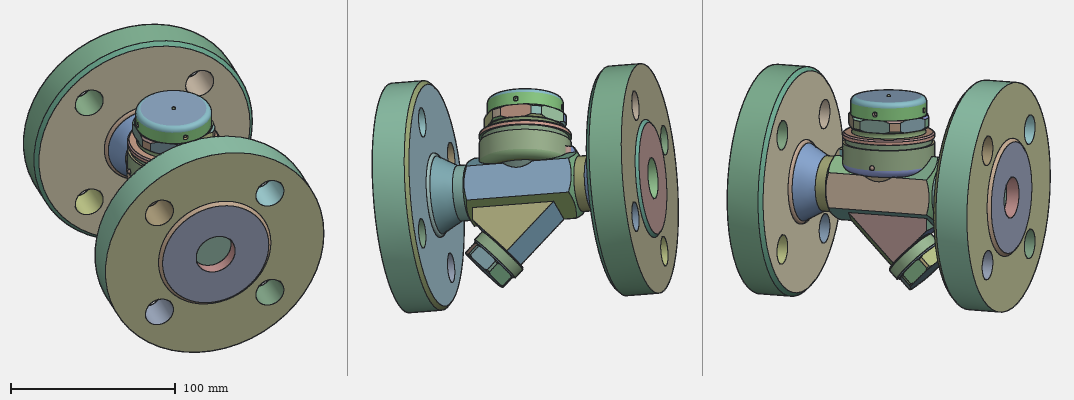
import cadquery as cq
import math

length = 160.0
flange_dia = 140.0
flange_thickness = 22.5
flange_chamfer = 2.4
raised_face_dia = 68.0
raised_face_base_dia = 72.0
raised_face_height = 2.0
bolt_hole_dia = 18.0
bolt_circle_dia = 100.0
bolt_count = 4
bore_dia = 25.0
bore_depth = 8.0

pipe_dia = 34.0
pipe_end_x = 41.3
hub_base_dia = 47.7
hub_fillet = 2.0

block_flats = 37.6
block_end_x = 34.7
block_corner_radius = block_flats / math.sqrt(3)
block_chamfer_slope = 1.7
pad_width = 9.6
pad_top_z = 22.9
pad_fillet = 3.2

drum_dia = 56.0
drum_bottom_z = 11.4
drum_bottom_radius = 4.6
drum_top_z = 28.6
drum_cone_dia = 42.5
drum_foot_dia = 36.2
drum_foot_z = 6.4
groove_dia = 53.0
rim_bottom_z = 32.0
rim_top_z = 35.0
rim_chamfer = 1.0
bump_dia = 3.0
bump_z = 17.6

branch_offset = 17.3
branch_flats = 26.4
branch_start = -8.0
branch_end = 36.5
web_right_x = 29.8

plug_spigot_dia = 32.0
plug_collar_dia = 34.0
plug_collar_start = 37.3
plug_collar_end = 44.2
plug_hex_start = 45.1
plug_hex_end = 54.0
plug_hex_flats = 29.5
plug_hex_turned_dia = 33.0
plug_hex_chamfer = 0.8

neck_dia = 45.5
neck_hollow = 0.5
cover_hex_bottom_z = 38.4
cover_hex_top_z = 46.2
cover_hex_flats = 46.4
cover_hex_turned_dia = 50.2
cover_hex_chamfer = 1.3
cap_dia = 46.2
cap_top_dia = 40.0
cap_top_z = 57.0
cap_fillet = (cap_dia - cap_top_dia) / 2
dimple_dia = 3.0
dimple_floor_dia = 1.8
dimple_depth = 1.3
dimple_z = 50.0
dimple_count = 4
nib_dia = 2.2


def about_x(profile):
    """Solid of revolution about X from an (x, radius) outline on the XY plane."""
    return profile.close().revolve(360, (0, 0, 0), (1, 0, 0))


def about_z(profile):
    """Solid of revolution about Z from a (radius, z) outline on the XZ plane."""
    return profile.close().revolve(360, (0, 0, 0), (0, 1, 0))


def turned_hexagon(flats, turned_dia, chamfer, height):
    """Hexagon standing on Z = 0, flats facing +/-Y, corners turned round and chamfered."""
    hexagon = cq.Workplane("XY").polygon(6, flats / math.cos(math.pi / 6)).extrude(height)
    envelope = cq.Workplane("XY").circle(turned_dia / 2).extrude(height).edges().chamfer(chamfer)
    return hexagon.intersect(envelope)


def make_flange():
    """Flange and weld neck on the -X side."""
    back_x = -length / 2 + raised_face_height
    inner_x = back_x + flange_thickness
    flange_radius = flange_dia / 2
    hub_radius = hub_base_dia / 2
    flange = about_x(
        cq.Workplane("XY")
        .moveTo(-length / 2, 0)
        .lineTo(-length / 2, raised_face_dia / 2)
        .lineTo(back_x, raised_face_base_dia / 2)
        .lineTo(back_x, flange_radius)
        .lineTo(inner_x - flange_chamfer, flange_radius)
        .lineTo(inner_x, flange_radius - flange_chamfer)
        .lineTo(inner_x, hub_radius + hub_fillet)
        .radiusArc((inner_x + hub_fillet, hub_radius), hub_fillet)
        .lineTo(-pipe_end_x, pipe_dia / 2)
        .lineTo(-block_end_x, pipe_dia / 2)
        .lineTo(-block_end_x, 0)
    )
    bolt_holes = (
        cq.Workplane("YZ", origin=(back_x, 0, 0))
        .polarArray(bolt_circle_dia / 2, 45, 360, bolt_count)
        .circle(bolt_hole_dia / 2)
        .extrude(flange_thickness)
    )
    bore = cq.Workplane("YZ", origin=(-length / 2, 0, 0)).circle(bore_dia / 2).extrude(bore_depth)
    return flange.cut(bolt_holes).cut(bore)


def make_block():
    """Hexagonal block with the ridge pad; both ends are chamfered by a cone."""
    block = (
        cq.Workplane("YZ", origin=(-block_end_x, 0, 0))
        .polygon(6, 2 * block_corner_radius)
        .extrude(2 * block_end_x)
        .rotate((0, 0, 0), (1, 0, 0), 90)
    )
    pad = cq.Workplane("XY").box(block_end_x, pad_width, pad_top_z, centered=(False, True, False))
    block = block.union(pad.translate((-block_end_x, 0, 0)))
    full_radius = pipe_dia / 2 + block_chamfer_slope * block_end_x
    envelope = about_x(
        cq.Workplane("XY")
        .moveTo(-block_end_x, 0)
        .lineTo(-block_end_x, pipe_dia / 2)
        .lineTo(0, full_radius)
        .lineTo(block_end_x, pipe_dia / 2)
        .lineTo(block_end_x, 0)
    )
    return block.intersect(envelope)


def make_drum():
    """Round trap seat with a tapered foot, a groove under its rim and a bump at the front."""
    radius = drum_dia / 2
    drum = about_z(
        cq.Workplane("XZ")
        .moveTo(0, drum_foot_z)
        .lineTo(drum_foot_dia / 2, drum_foot_z)
        .lineTo(drum_cone_dia / 2, drum_bottom_z)
        .lineTo(radius - drum_bottom_radius, drum_bottom_z)
        .radiusArc((radius, drum_bottom_z + drum_bottom_radius), -drum_bottom_radius)
        .lineTo(radius, drum_top_z)
        .lineTo(groove_dia / 2, drum_top_z)
        .lineTo(groove_dia / 2, rim_bottom_z)
        .lineTo(radius, rim_bottom_z)
        .lineTo(radius, rim_top_z - rim_chamfer)
        .lineTo(radius - rim_chamfer, rim_top_z)
        .lineTo(0, rim_top_z)
    )
    bump = cq.Workplane("XY").sphere(bump_dia / 2).translate((0, -radius, bump_z))
    return drum.union(bump)


def place_on_branch(part):
    """Move a part built along Z onto the branch axis, its Z = 0 plane to the axis origin."""
    tilted = part.rotate((0, 0, 0), (0, 1, 0), 135)
    drop = branch_offset * math.sqrt(0.5)
    return tilted.translate((-drop, 0, -drop))


def make_branch():
    """Hexagonal branch with a flat web filling the corner up to the block."""
    length_along = branch_end - branch_start
    tube = (
        cq.Workplane("XY", origin=(0, 0, branch_start))
        .polygon(6, branch_flats / math.cos(math.pi / 6))
        .extrude(length_along)
    )
    end_sum = branch_end * math.sqrt(2)
    axis_end_x = (branch_end - branch_offset) * math.sqrt(0.5)
    axis_start_x = (branch_start - branch_offset) * math.sqrt(0.5)
    axis_sum = branch_offset * math.sqrt(2)
    web = (
        cq.Workplane("XZ")
        .moveTo(axis_end_x, axis_end_x - end_sum)
        .lineTo(web_right_x, web_right_x - end_sum)
        .lineTo(web_right_x, 0)
        .lineTo(axis_start_x, 0)
        .lineTo(axis_start_x, -axis_sum - axis_start_x)
        .close()
        .extrude(branch_flats / 2, both=True)
    )
    return place_on_branch(tube).union(web)


def make_plug():
    """Strainer plug: spigot, collar, and a turned hexagonal head."""
    plug = (
        cq.Workplane("XY", origin=(0, 0, branch_end))
        .circle(plug_spigot_dia / 2)
        .extrude(plug_hex_start - branch_end)
    )
    collar = (
        cq.Workplane("XY", origin=(0, 0, plug_collar_start))
        .circle(plug_collar_dia / 2)
        .extrude(plug_collar_end - plug_collar_start)
    )
    head = turned_hexagon(
        plug_hex_flats, plug_hex_turned_dia, plug_hex_chamfer, plug_hex_end - plug_hex_start
    ).translate((0, 0, plug_hex_start))
    return place_on_branch(plug.union(collar).union(head))


def make_block_with_drum():
    """Block joined to the drum, with fillets where the pad sides meet the drum."""
    block = make_block().union(make_drum())
    corner_x = -math.sqrt((drum_dia / 2) ** 2 - (pad_width / 2) ** 2)
    corner_z = (pad_top_z + block_corner_radius - pad_width / 2 / math.sqrt(3)) / 2
    for side in (-1, 1):
        corner = (corner_x, side * pad_width / 2, corner_z)
        block = block.edges("|Z").edges(cq.NearestToPointSelector(corner)).fillet(pad_fillet)
    return block


def make_body():
    """Flanged trap body in one piece."""
    flange = make_flange()
    body = make_block_with_drum().union(flange).union(flange.mirror("YZ"))
    return body.union(make_branch()).union(make_plug())


def make_cover():
    """Trap cover seated on the drum: neck, hexagon and rounded cap."""
    neck_radius = neck_dia / 2
    neck_middle_z = (rim_top_z + cover_hex_bottom_z) / 2
    neck = about_z(
        cq.Workplane("XZ")
        .moveTo(0, rim_top_z)
        .lineTo(neck_radius, rim_top_z)
        .threePointArc((neck_radius - neck_hollow, neck_middle_z), (neck_radius, cover_hex_bottom_z))
        .lineTo(0, cover_hex_bottom_z)
    )
    hexagon = turned_hexagon(
        cover_hex_flats,
        cover_hex_turned_dia,
        cover_hex_chamfer,
        cover_hex_top_z - cover_hex_bottom_z,
    ).translate((0, 0, cover_hex_bottom_z))
    cap = (
        cq.Workplane("XY", origin=(0, 0, cover_hex_top_z))
        .circle(cap_dia / 2)
        .extrude(cap_top_z - cover_hex_top_z)
        .faces(">Z")
        .edges()
        .fillet(cap_fillet)
    )
    nib = cq.Workplane("XY").sphere(nib_dia / 2).translate((0, 0, cap_top_z))
    cover = neck.union(hexagon).union(cap).union(nib)
    dimple_outer_dia = 2 * dimple_dia - dimple_floor_dia
    dimple = cq.Workplane(
        cq.Solid.makeCone(
            dimple_floor_dia / 2,
            dimple_outer_dia / 2,
            2 * dimple_depth,
            cq.Vector(cap_dia / 2 - dimple_depth, 0, dimple_z),
            cq.Vector(1, 0, 0),
        )
    )
    for index in range(dimple_count):
        cover = cover.cut(dimple.rotate((0, 0, 0), (0, 0, 1), index * 360 / dimple_count))
    return cover


body = make_body()
cover = make_cover()
result = cq.Compound.makeCompound([body.val(), cover.val()])